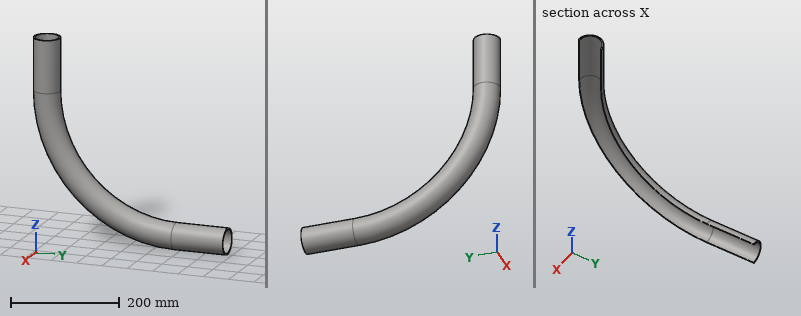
import cadquery as cq
import math

overall_size = 381.0
bore_diameter = 44.5

bend_ratio = 5
leg_ratio = 2
tube_diameter = overall_size / (leg_ratio + bend_ratio + 0.5)
bend_radius = bend_ratio * tube_diameter
leg_length = leg_ratio * tube_diameter


def centreline():
    """Path in the YZ plane: down the upright leg, round the bend, out along +Y."""
    bend_top_z = bend_radius
    mid_offset = bend_radius * (1 - math.cos(math.radians(45)))
    return (
        cq.Workplane("YZ")
        .moveTo(0, bend_top_z + leg_length)
        .lineTo(0, bend_top_z)
        .threePointArc((mid_offset, mid_offset), (bend_radius, 0))
        .lineTo(bend_radius + leg_length, 0)
    )


def bent_tube():
    """Ring section swept along the centreline, leaving both ends open."""
    upright_end = cq.Workplane("XY", origin=(0, 0, bend_radius + leg_length))
    ring = upright_end.circle(tube_diameter / 2).circle(bore_diameter / 2)
    return ring.sweep(centreline())


result = bent_tube()